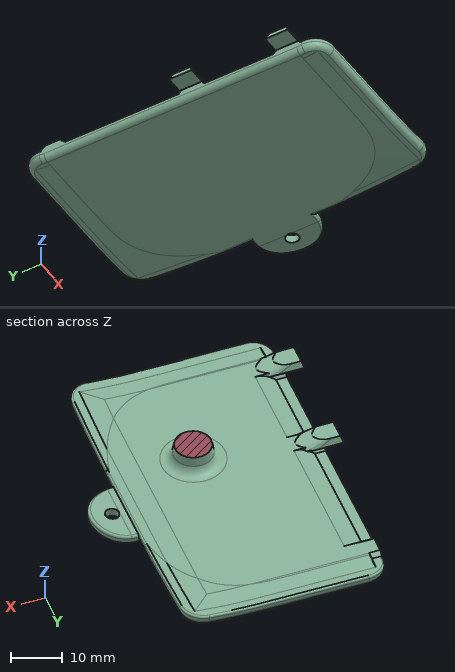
import cadquery as cq
import math

PLATE_LENGTH = 41.85
HALF_WIDTH = 34.27
CORNER_RADIUS = 4.5
RIM_TOP = 2.4
PLATEAU_TOP = 3.2
LOWER_ROUND = 1.3
UPPER_ROUND = 0.4
WALL_NORMAL_LIMIT = 0.5

RIM_WIDTH = 2.27
BANK_WIDTH_X = 3.8
BANK_WIDTH_Y = 3.6
BANK_FOOT_X = PLATE_LENGTH - RIM_WIDTH
BANK_FOOT_Y = HALF_WIDTH - RIM_WIDTH
PLATEAU_END_X = BANK_FOOT_X - BANK_WIDTH_X
PLATEAU_END_Y = BANK_FOOT_Y - BANK_WIDTH_Y

CURL_START_X = 20.4
CURL_SEMI_X = 22.0
CURL_SEMI_Y = 28.75
CURL_HEIGHT = 1.35
CURL_STEPS = 24
CURL_TOLERANCE = 1e-3
CURL_MARGIN = 1.0
TRIM_HEIGHT = 10.0

LEDGE_TOP = RIM_TOP - UPPER_ROUND
LEDGE_WIDTH = RIM_WIDTH
RAMP_END_X = 6.2
PAD_FLANK = 1.05
CUTTER_OVERHANG = 1.0
RELIEFS_Y = ((-2.85, 25.0), (-24.4, -6.75))

TONGUES_Y = (-4.65, -26.45)
TONGUE_TIP_X = -3.83
TONGUE_TIP_SLANT = 0.48
TONGUE_BOTTOM = 2.65
TONGUE_TOP = 4.2
TONGUE_BOTTOM_WIDTH = 5.2
TONGUE_TOP_WIDTH = 4.1
TONGUE_BOTTOM_END_X = 7.2
TONGUE_TOP_END_X = 1.8
TONGUE_BOTTOM_NOSE = 5.4
TONGUE_TOP_NOSE = 3.2
NOSE_FULLNESS = math.sqrt(0.5)

KNOB_X = 25.15
KNOB_Y = -7.65
KNOB_FOOT_RADIUS = 6.75
KNOB_BASE_RADIUS = 4.05
KNOB_BASE_Z = 5.1
KNOB_FLARE_SAG = 0.32
KNOB_NECK_RADIUS = 2.95
KNOB_NECK_Z = 11.75
KNOB_TIP_RADIUS = 0.4
KNOB_TOP = 14.0

TAB_RADIUS = 7.2
TAB_TIP_X = 49.34
TAB_CENTRE_X = TAB_TIP_X - TAB_RADIUS
TAB_BEND_X = 43.2
TAB_THICKNESS = 1.95
TAB_RISE = 0.85
TAB_ROOT_X = 40.5
TAB_HOLE_X = 44.65
TAB_HOLE_RADIUS = 1.4
TAB_ROUND = 0.5


def curl(x, y):
    """Lift of the curled surface; negative inside the elliptical line."""
    along = max(0.0, x - CURL_START_X) / CURL_SEMI_X
    across = y / CURL_SEMI_Y
    return CURL_HEIGHT * (along**3 + across**2 - 1)


def curled_sheet(level, height, slope_x=0.0, slope_y=0.0):
    """Prism over the whole plate from the curled surface level + slope_x * x + slope_y * y."""
    low_x = -CURL_MARGIN
    step_x = (PLATE_LENGTH + 2 * CURL_MARGIN) / CURL_STEPS
    low_y = -HALF_WIDTH - CURL_MARGIN
    step_y = -2 * low_y / CURL_STEPS
    grid = []
    for i in range(CURL_STEPS + 1):
        x = low_x + i * step_x
        row = []
        for j in range(CURL_STEPS + 1):
            y = low_y + j * step_y
            row.append(cq.Vector(x, y, level + slope_x * x + slope_y * y + curl(x, y)))
        grid.append(row)
    face = cq.Face.makeSplineApprox(grid, tol=CURL_TOLERANCE)
    return cq.Workplane(cq.Solid.extrudeLinear(face, cq.Vector(0, 0, height)))


def outline(height):
    return (
        cq.Workplane("XY")
        .rect(PLATE_LENGTH, 2 * HALF_WIDTH)
        .extrude(height)
        .edges("|Z")
        .fillet(CORNER_RADIUS)
        .translate((PLATE_LENGTH / 2, 0, 0))
    )


def flat_plateau():
    """Level plateau with sloping banks, carried out to the hinge edge by a strip."""
    foot_length = BANK_FOOT_X - RIM_WIDTH
    top_length = PLATEAU_END_X - RIM_WIDTH
    banks = (
        cq.Workplane("XY", origin=(0, 0, RIM_TOP))
        .center(RIM_WIDTH + foot_length / 2, 0)
        .rect(foot_length, 2 * BANK_FOOT_Y)
        .workplane(offset=PLATEAU_TOP - RIM_TOP)
        .center((top_length - foot_length) / 2, 0)
        .rect(top_length, 2 * PLATEAU_END_Y)
        .loft(ruled=True)
    )
    strip_foot_y = PLATEAU_END_Y + PAD_FLANK
    hinge_strip = (
        cq.Workplane("YZ")
        .moveTo(-strip_foot_y, LEDGE_TOP)
        .lineTo(strip_foot_y, LEDGE_TOP)
        .lineTo(strip_foot_y, RIM_TOP)
        .lineTo(PLATEAU_END_Y, PLATEAU_TOP)
        .lineTo(-PLATEAU_END_Y, PLATEAU_TOP)
        .lineTo(-strip_foot_y, RIM_TOP)
        .close()
        .extrude(RAMP_END_X)
    )
    return banks.union(hinge_strip)


def curled_plateau():
    """The same plateau and banks lifted by the curl."""
    drop = PLATEAU_TOP - RIM_TOP
    slope_x = drop / BANK_WIDTH_X
    slope_y = drop / BANK_WIDTH_Y
    body = (
        cq.Workplane("XY")
        .box(BANK_FOOT_X - RIM_WIDTH, 2 * BANK_FOOT_Y, TRIM_HEIGHT, centered=(False, True, False))
        .translate((RIM_WIDTH, 0, 0))
        .intersect(curled_sheet(PLATEAU_TOP, -TRIM_HEIGHT))
        .intersect(curled_sheet(RIM_TOP + slope_x * BANK_FOOT_X, -2 * TRIM_HEIGHT, slope_x=-slope_x))
    )
    for side in (-1, 1):
        level = RIM_TOP + slope_y * BANK_FOOT_Y
        body = body.intersect(curled_sheet(level, -2 * TRIM_HEIGHT, slope_y=side * slope_y))
    return body


def perimeter_edges(rim, upper):
    """Edges around the outside wall, either along its top or along its foot."""
    chosen = []
    for wall in rim.faces().vals():
        if abs(wall.normalAt().z) > WALL_NORMAL_LIMIT:
            continue
        for edge in wall.Edges():
            if abs(edge.tangentAt(0.5).z) > WALL_NORMAL_LIMIT:
                continue
            middle = edge.positionAt(0.5)
            height = middle.z - max(0.0, curl(middle.x, middle.y))
            if (height > RIM_TOP / 2) == upper:
                chosen.append(edge)
    return rim.newObject(chosen)


def plate():
    """Rim and plateau, each the higher of its level and its curled form."""
    rim = outline(RIM_TOP).union(outline(TRIM_HEIGHT).intersect(curled_sheet(RIM_TOP, -TRIM_HEIGHT)))
    rim = rim.intersect(curled_sheet(0, TRIM_HEIGHT))
    rim = perimeter_edges(rim, upper=True).fillet(UPPER_ROUND)
    rim = perimeter_edges(rim, upper=False).fillet(LOWER_ROUND)
    top = flat_plateau().union(curled_plateau())
    return rim.union(top.intersect(curled_sheet(0, TRIM_HEIGHT)))


def ledge_relief(low_y, high_y):
    """Cutter for the ledge and its ramp, which runs out level into the plateau."""
    drop = PLATEAU_TOP - LEDGE_TOP
    run = RAMP_END_X - LEDGE_WIDTH
    half_angle = math.atan2(drop, run)
    radius = run / math.sin(2 * half_angle)
    middle = (
        RAMP_END_X - radius * math.sin(half_angle),
        PLATEAU_TOP - radius * (1 - math.cos(half_angle)),
    )
    side = (
        cq.Workplane("XZ", origin=(0, high_y, 0))
        .moveTo(-CUTTER_OVERHANG, LEDGE_TOP)
        .lineTo(LEDGE_WIDTH, LEDGE_TOP)
        .threePointArc(middle, (RAMP_END_X, PLATEAU_TOP))
        .lineTo(-CUTTER_OVERHANG, PLATEAU_TOP)
        .close()
        .extrude(high_y - low_y)
    )
    flanks = (
        cq.Workplane("YZ", origin=(-CUTTER_OVERHANG, 0, 0))
        .moveTo(low_y, PLATEAU_TOP)
        .lineTo(high_y, PLATEAU_TOP)
        .lineTo(high_y - PAD_FLANK, LEDGE_TOP)
        .lineTo(low_y + PAD_FLANK, LEDGE_TOP)
        .close()
        .extrude(RAMP_END_X + CUTTER_OVERHANG)
    )
    return side.intersect(flanks)


def tongue_section(z, tip_x, end_x, nose, width):
    """Level outline of a tongue: square tip outside the plate, rounded nose on the plateau."""
    half = width / 2
    shoulder_x = end_x - nose
    diagonal_x = shoulder_x + nose * NOSE_FULLNESS
    diagonal_y = half * NOSE_FULLNESS
    nose_points = [(diagonal_x, diagonal_y), (end_x, 0), (diagonal_x, -diagonal_y), (shoulder_x, -half)]
    return (
        cq.Workplane("XY", origin=(0, 0, z))
        .moveTo(tip_x, -half)
        .lineTo(tip_x, half)
        .lineTo(shoulder_x, half)
        .spline(nose_points, tangents=[(1, 0), (-1, 0)], includeCurrent=True)
        .close()
        .wires()
        .val()
    )


def tongue(centre_y):
    bottom = tongue_section(
        TONGUE_BOTTOM, TONGUE_TIP_X, TONGUE_BOTTOM_END_X, TONGUE_BOTTOM_NOSE, TONGUE_BOTTOM_WIDTH
    )
    top_tip_x = TONGUE_TIP_X + TONGUE_TIP_SLANT
    top = tongue_section(TONGUE_TOP, top_tip_x, TONGUE_TOP_END_X, TONGUE_TOP_NOSE, TONGUE_TOP_WIDTH)
    return cq.Workplane(cq.Solid.makeLoft([bottom, top], True)).translate((0, centre_y, 0))


def knob():
    """Tapered, domed post with a flared foot."""
    foot_middle = (
        KNOB_BASE_RADIUS + KNOB_FLARE_SAG * (KNOB_FOOT_RADIUS - KNOB_BASE_RADIUS),
        PLATEAU_TOP + KNOB_FLARE_SAG * (KNOB_BASE_Z - PLATEAU_TOP),
    )
    dome = math.sin(math.radians(45))
    dome_middle = (
        KNOB_TIP_RADIUS + dome * (KNOB_NECK_RADIUS - KNOB_TIP_RADIUS),
        KNOB_NECK_Z + dome * (KNOB_TOP - KNOB_NECK_Z),
    )
    return (
        cq.Workplane("XZ")
        .moveTo(0, RIM_TOP)
        .lineTo(KNOB_FOOT_RADIUS, RIM_TOP)
        .lineTo(KNOB_FOOT_RADIUS, PLATEAU_TOP)
        .threePointArc(foot_middle, (KNOB_BASE_RADIUS, KNOB_BASE_Z))
        .lineTo(KNOB_NECK_RADIUS, KNOB_NECK_Z)
        .threePointArc(dome_middle, (KNOB_TIP_RADIUS, KNOB_TOP))
        .lineTo(0, KNOB_TOP)
        .close()
        .revolve(360, (0, 0, 0), (0, 1, 0))
        .translate((KNOB_X, KNOB_Y, 0))
    )


def pull_tab():
    """Half-round tab that bends upward toward its tip."""
    run = TAB_TIP_X - TAB_BEND_X
    middle_x = TAB_BEND_X + run / 2
    side = (
        cq.Workplane("XZ", origin=(0, TAB_RADIUS, 0))
        .moveTo(TAB_ROOT_X, 0)
        .lineTo(TAB_BEND_X, 0)
        .threePointArc((middle_x, TAB_RISE / 4), (TAB_TIP_X, TAB_RISE))
        .lineTo(TAB_TIP_X, TAB_RISE + TAB_THICKNESS)
        .threePointArc((middle_x, TAB_THICKNESS + TAB_RISE / 4), (TAB_BEND_X, TAB_THICKNESS))
        .lineTo(TAB_ROOT_X, TAB_THICKNESS)
        .close()
        .extrude(2 * TAB_RADIUS)
    )
    disc = cq.Workplane("XY").center(TAB_CENTRE_X, 0).circle(TAB_RADIUS).extrude(TRIM_HEIGHT)
    hole = cq.Workplane("XY").center(TAB_HOLE_X, 0).circle(TAB_HOLE_RADIUS).extrude(TRIM_HEIGHT)
    tab = side.intersect(disc)
    tip_wall = tab.faces(">X")
    tab = tab.newObject(tip_wall.edges("<Z or >Z").vals()).fillet(TAB_ROUND)
    return tab.cut(hole)


result = plate()
for low, high in RELIEFS_Y:
    result = result.cut(ledge_relief(low, high))
for y in TONGUES_Y:
    result = result.union(tongue(y))
result = result.union(knob()).union(pull_tab())